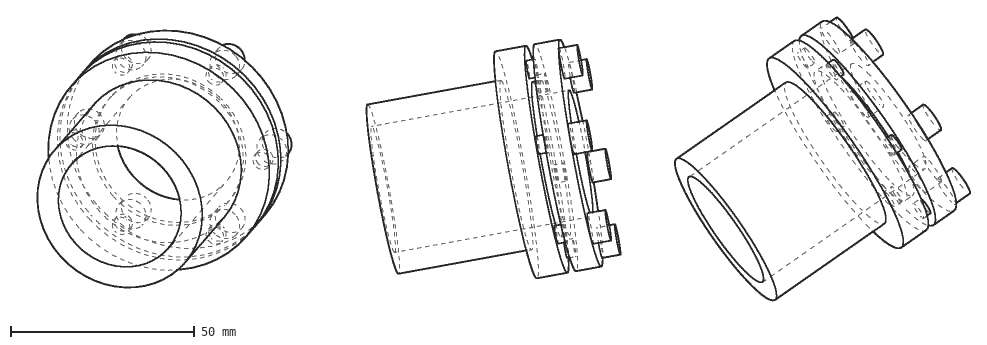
import cadquery as cq

flange_diameter = 63.0
tube_diameter = 47.0
bore_diameter = 34.95
spacer_diameter = 42.95
bolt_circle_diameter = 53.4
head_diameter = 8.5
shank_diameter = 5.0

total_length = 60.0
head_length = 5.05
plate_thickness = 7.05
gap_width = 2.4
flange_thickness = 8.5

bolt_count = 6
first_bolt_angle = 90.0

plate_back = total_length - head_length
plate_front = plate_back - plate_thickness
flange_back = plate_front - gap_width
flange_front = flange_back - flange_thickness


def section_plane(y):
    """Plane across the tube axis at y, with its normal along +Y."""
    return cq.Workplane("ZX", origin=(0, y, 0))


def disc(diameter, y_start, y_end):
    """Solid disc on the tube axis."""
    return section_plane(y_start).circle(diameter / 2).extrude(y_end - y_start)


def bolt_cylinders(diameter, y_start, y_end):
    """Cylinders at every bolt position, two of them on the X axis."""
    return (
        section_plane(y_start)
        .polarArray(bolt_circle_diameter / 2, first_bolt_angle, 360, bolt_count)
        .circle(diameter / 2)
        .extrude(y_end - y_start)
    )


body = disc(tube_diameter, 0, flange_front)
body = body.union(disc(flange_diameter, flange_front, flange_back))
body = body.union(disc(spacer_diameter, flange_back, plate_front))
body = body.union(disc(flange_diameter, plate_front, plate_back))

body = body.union(bolt_cylinders(shank_diameter, flange_back, plate_front))
body = body.union(bolt_cylinders(head_diameter, plate_back, total_length))

result = body.cut(disc(bore_diameter, 0, plate_back))